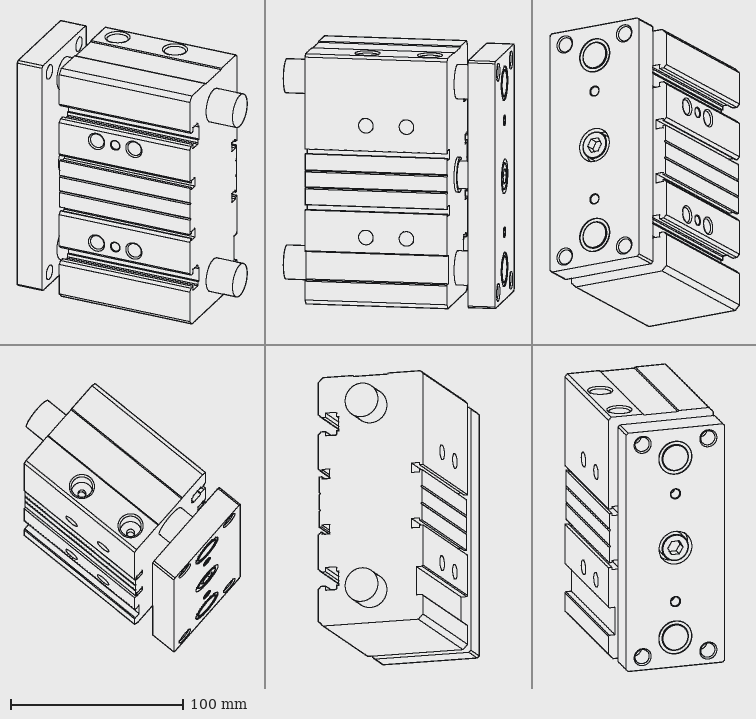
import cadquery as cq
import math


plate_thickness = 16.0
plate_width = 60.0
plate_height = 146.0
plate_chamfer = 1.2
plate_gap = 12.0

housing_length = 84.0
housing_width = 64.0
housing_height = 148.0
housing_start = plate_thickness + plate_gap
housing_end = housing_start + housing_length
half_width = housing_width / 2
half_height = housing_height / 2
corner_chamfer = 2.9
port_corner_chamfer = 1.7

guide_spacing = 110.0
guide_diameter = 20.0
guide_overhang = 17.0
guide_end = housing_end + guide_overhang
guide_positions = (-guide_spacing / 2, guide_spacing / 2)

piston_rod_diameter = 16.0
piston_rod_end = housing_start + 60.0

end_boss_diameter = 16.0
end_boss_chamfer = 0.4
guide_end_recess = 0.6
head_pocket_diameter = 20.0
head_pocket_depth = 8.0
hex_across_flats = 8.0
hex_depth = 6.0

hole_spacing_z = 66.0
hole_levels = (-hole_spacing_z / 2, hole_spacing_z / 2)
thread_bore = 8.6
thread_mouth = 10.4
plate_thread_spacing_y = 40.0
plate_thread_spacing_z = 130.0
pin_bore = 5.4
pin_mouth = 6.2
pin_depth = 10.0
pin_row_x = housing_start + 36.0
mount_hole_pitch = 24.0
drill_half_angle = math.radians(59)

port_y = 21.5
rod_port_x = housing_start + 12.0
head_port_x = housing_start + 49.0
port_bore = 12.4
port_mouth = 14.6
port_depth = 12.0
passage_diameter = 4.6
passage_depth = 20.0
cross_passage_diameter = 5.0
cross_passage_length = 24.0

top_recess_width = 21.8
top_recess_depth = 0.6
band_recess = 0.6
slot_z = 46.0
slot_opening = 8.5
slot_width = 13.5
slot_lip = 4.5
slot_depth = 11.3
slot_relief_depth = 12.5
slot_mouth_chamfer = 1.75
slot_floor_chamfer = 0.6
sensor_slot_z = 16.5
sensor_slot_opening = 3.0
sensor_slot_width = 5.6
sensor_slot_lip = 2.2
sensor_slot_depth = 7.0
sensor_mouth_chamfer = 1.7
groove_z = 5.0
groove_width = 1.3
groove_depth = 0.7
back_slot_z = -51.0
back_slot_width = 16.8
back_slot_depth = 4.0
back_slot_chamfer = 0.6

ring_diameter = 20.4
ring_bore = 16.8
ring_height = 1.5
ring_opening = 17.0


def rod_along_x(diameter, start, end, y=0.0, z=0.0):
    """Cylinder along X between two X positions."""
    return cq.Workplane("YZ", origin=(start, y, z)).circle(diameter / 2).extrude(end - start)


def hole_tool(point, direction, bore, mouth, depth, pointed=False):
    """Bore with a 45 degree countersunk mouth and, if asked for, a drill point."""
    radius = bore / 2
    countersink = (mouth - bore) / 2
    origin = cq.Vector(*point)
    axis = cq.Vector(*direction)
    tool = cq.Solid.makeCylinder(radius, depth, origin, axis)
    tool = tool.fuse(cq.Solid.makeCone(mouth / 2, radius, countersink, origin, axis))
    if pointed:
        tip = radius / math.tan(drill_half_angle)
        tool = tool.fuse(cq.Solid.makeCone(radius, 0, tip, origin + axis * depth, axis))
    return tool


def along_housing(points):
    """Extrude a closed (Y, Z) outline over the housing length."""
    return cq.Workplane("YZ", origin=(housing_start, 0, 0)).polyline(points).close().extrude(housing_length)


def make_plate():
    plate = cq.Workplane("XY").box(plate_thickness, plate_width, plate_height, centered=(False, True, True))
    plate = plate.edges("|X").chamfer(plate_chamfer)
    for z in guide_positions:
        plate = plate.cut(rod_along_x(guide_diameter, 0, plate_thickness, z=z))
    plate = plate.cut(rod_along_x(piston_rod_diameter, 0, plate_thickness))
    plate = plate.cut(rod_along_x(head_pocket_diameter, 0, head_pocket_depth))
    for y in (-plate_thread_spacing_y / 2, plate_thread_spacing_y / 2):
        for z in (-plate_thread_spacing_z / 2, plate_thread_spacing_z / 2):
            plate = plate.cut(hole_tool((0, y, z), (1, 0, 0), thread_bore, thread_mouth, plate_thickness))
    for z in hole_levels:
        plate = plate.cut(hole_tool((0, 0, z), (1, 0, 0), pin_bore, pin_mouth, pin_depth, pointed=True))
    return plate


def make_guide_rod(z):
    """Guide rod whose chamfered end boss is flush with the plate."""
    rod = rod_along_x(guide_diameter, guide_end_recess, guide_end, z=z)
    boss = rod_along_x(end_boss_diameter, 0, guide_end_recess, z=z).faces("<X").chamfer(end_boss_chamfer)
    return rod.union(boss)


def make_piston_rod():
    """Piston rod with a hexagon socket in its plate end."""
    rod = rod_along_x(piston_rod_diameter, 0, piston_rod_end).faces("<X").chamfer(end_boss_chamfer)
    corner_diameter = hex_across_flats / math.cos(math.pi / 6)
    socket = cq.Workplane("YZ").polygon(6, corner_diameter).extrude(hex_depth)
    return rod.cut(socket)


def housing_blank():
    """Extruded body: a small chamfer beside the ports and a sloped-edge top recess."""
    c = corner_chamfer
    p = port_corner_chamfer
    recess_edge = top_recess_width / 2
    recess_floor = half_height - top_recess_depth
    floor_edge = recess_edge - top_recess_depth
    return along_housing([
        (-half_width + c, -half_height),
        (half_width - c, -half_height),
        (half_width, -half_height + c),
        (half_width, half_height - p),
        (half_width - p, half_height),
        (recess_edge, half_height),
        (floor_edge, recess_floor),
        (-floor_edge, recess_floor),
        (-recess_edge, half_height),
        (-half_width + c, half_height),
        (-half_width, half_height - c),
        (-half_width, -half_height + c),
    ])


def t_slot(z):
    """T slot in the -Y face: chamfered mouth, chamfered inner corners, relief at its bottom."""
    mouth = slot_opening / 2 + slot_mouth_chamfer
    neck = slot_opening / 2
    wide = slot_width / 2
    upper = [
        (0, mouth),
        (slot_mouth_chamfer, neck),
        (slot_lip, neck),
        (slot_lip, wide),
        (slot_depth - slot_floor_chamfer, wide),
        (slot_depth, wide - slot_floor_chamfer),
        (slot_depth, neck),
        (slot_relief_depth, neck),
    ]
    lower = [(depth, -height) for depth, height in reversed(upper)]
    return along_housing([(-half_width + depth, z + height) for depth, height in upper + lower])


def sensor_slot(face, side):
    """T-shaped sensor slot; face is the Y side and side the Z side it lies on."""
    neck = sensor_slot_opening / 2
    wide = sensor_slot_width / 2
    outline = [
        (0, -neck),
        (0, neck),
        (sensor_slot_lip, neck),
        (sensor_slot_lip, wide),
        (sensor_slot_depth, wide),
        (sensor_slot_depth, -wide),
        (sensor_slot_lip, -wide),
        (sensor_slot_lip, -neck),
    ]
    return along_housing([(face * (half_width - depth), side * (sensor_slot_z + height))
                          for depth, height in outline])


def sensor_slot_chamfer(side):
    """Chamfer on the outer edge of a sensor slot in the -Y face."""
    edge = sensor_slot_z + sensor_slot_opening / 2
    return along_housing([
        (-half_width, side * edge),
        (-half_width, side * (edge + sensor_mouth_chamfer)),
        (-half_width + sensor_mouth_chamfer, side * edge),
    ])


def sensor_band(face):
    """Shallow recess of the band between the two sensor slots, with two V grooves."""
    edge = sensor_slot_z
    surface = face * half_width
    floor = face * (half_width - band_recess)
    groove_bottom = face * (half_width - band_recess - groove_depth)
    band = along_housing([(surface, -edge), (surface, edge), (floor, edge), (floor, -edge)])
    for z in (-groove_z, groove_z):
        band = band.union(along_housing([
            (surface, z - groove_width / 2),
            (floor, z - groove_width / 2),
            (groove_bottom, z),
            (floor, z + groove_width / 2),
            (surface, z + groove_width / 2),
        ]))
    return band


def back_slot():
    """Wide channel in the +Y face with chamfered edges."""
    half = back_slot_width / 2
    outer = half + back_slot_chamfer
    return along_housing([
        (half_width, back_slot_z - outer),
        (half_width, back_slot_z + outer),
        (half_width - back_slot_chamfer, back_slot_z + half),
        (half_width - back_slot_depth, back_slot_z + half),
        (half_width - back_slot_depth, back_slot_z - half),
        (half_width - back_slot_chamfer, back_slot_z - half),
    ])


def port(x):
    """Air port in the top face: countersunk bore, drill cone and narrow passage."""
    point = (x, port_y, half_height)
    down = (0, 0, -1)
    cone_height = (port_bore - passage_diameter) / 2 / math.tan(drill_half_angle)
    bottom = cq.Vector(x, port_y, half_height - port_depth)
    tool = hole_tool(point, down, port_bore, port_mouth, port_depth)
    cone = cq.Solid.makeCone(port_bore / 2, passage_diameter / 2, cone_height, bottom, cq.Vector(*down))
    passage = cq.Solid.makeCylinder(passage_diameter / 2, passage_depth, cq.Vector(*point), cq.Vector(*down))
    return tool.fuse(cone).fuse(passage)


def wiper_ring():
    """Ring standing on the housing's rod end, open towards -Y."""
    ring = rod_along_x(ring_diameter, housing_start - ring_height, housing_start)
    ring = ring.cut(rod_along_x(ring_bore, housing_start - ring_height, housing_start))
    opening = cq.Workplane("XY", origin=(housing_start - ring_height, 0, 0)).box(
        ring_height, ring_diameter, ring_opening, centered=(False, True, True))
    return ring.cut(opening.translate((0, -ring_diameter / 2, 0)))


def make_housing():
    housing = housing_blank()
    for side in (-1, 1):
        housing = housing.cut(t_slot(side * slot_z))
        housing = housing.cut(sensor_slot_chamfer(side))
    for face in (-1, 1):
        housing = housing.cut(sensor_band(face))
        for side in (-1, 1):
            housing = housing.cut(sensor_slot(face, side))
    housing = housing.cut(back_slot())

    for z in guide_positions:
        housing = housing.cut(rod_along_x(guide_diameter, housing_start, housing_end, z=z))
    housing = housing.cut(rod_along_x(piston_rod_diameter, housing_start, piston_rod_end))

    front = -half_width
    inward = (0, 1, 0)
    for z in hole_levels:
        pin_hole = hole_tool((pin_row_x, front, z), inward, pin_bore, pin_mouth, pin_depth, pointed=True)
        housing = housing.cut(pin_hole)
        for x in (pin_row_x - mount_hole_pitch / 2, pin_row_x + mount_hole_pitch / 2):
            housing = housing.cut(hole_tool((x, front, z), inward, thread_bore, thread_mouth, housing_width))

    for x in (rod_port_x, head_port_x):
        housing = housing.cut(port(x))
    cross_start = head_port_x - cross_passage_length / 2
    housing = housing.cut(rod_along_x(cross_passage_diameter, cross_start, cross_start + cross_passage_length,
                                      y=port_y, z=half_height - passage_depth))
    return housing.union(wiper_ring())


plate = make_plate()
housing = make_housing()
guide_rods = [make_guide_rod(z) for z in guide_positions]
piston_rod = make_piston_rod()

result = cq.Compound.makeCompound([
    plate.val(),
    housing.val(),
    *[rod.val() for rod in guide_rods],
    piston_rod.val(),
])